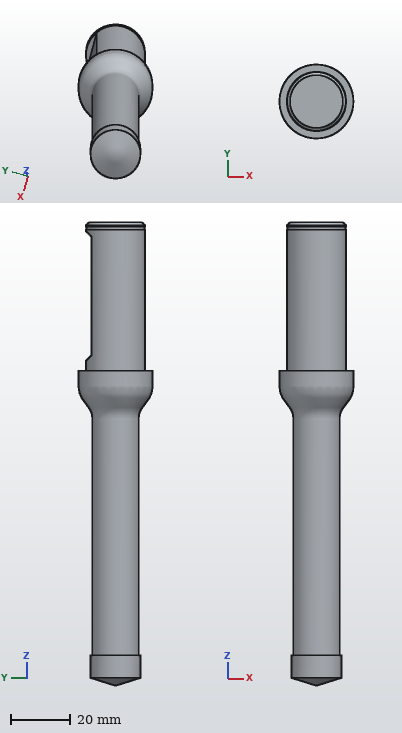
import cadquery as cq
import math

LENGTH = 156.0
POINT_HEIGHT = 2.7
TIP_TOP = 10.3
NECK_BOTTOM = 90.2
COLLAR_EDGE = 100.8
COLLAR_TOP = 106.1

TIP_RADIUS = 16.8 / 2
STEM_RADIUS = 15.8 / 2
COLLAR_RADIUS = 25.0 / 2
SHANK_RADIUS = 20.0 / 2

NECK_ROUND = 5.6
NECK_ANGLE = math.radians(34)

END_CHAMFER = 1.1
GROOVE_TOP = LENGTH - 1.5
GROOVE_BOTTOM = LENGTH - 2.5
GROOVE_DEPTH = 0.2

FLAT_DEPTH = 1.9
FLAT_BOTTOM = COLLAR_TOP + 3.3
FLAT_TOP = LENGTH - 3.0


def neck_point(angle):
    """Point (radius, height) on the concave round, at an angle up from the stem."""
    run = NECK_ROUND * (1 - math.cos(angle))
    rise = NECK_ROUND * math.sin(angle)
    return STEM_RADIUS + run, NECK_BOTTOM + rise


def make_holder_body():
    neck_direction = (math.sin(NECK_ANGLE), math.cos(NECK_ANGLE))
    collar_direction = (0, 1)
    groove_radius = SHANK_RADIUS - GROOVE_DEPTH
    return (
        cq.Workplane("XZ")
        .moveTo(0, TIP_TOP)
        .lineTo(STEM_RADIUS, TIP_TOP)
        .lineTo(STEM_RADIUS, NECK_BOTTOM)
        .threePointArc(neck_point(NECK_ANGLE / 2), neck_point(NECK_ANGLE))
        .spline(
            [(COLLAR_RADIUS, COLLAR_EDGE)],
            tangents=[neck_direction, collar_direction],
            includeCurrent=True,
        )
        .lineTo(COLLAR_RADIUS, COLLAR_TOP)
        .lineTo(SHANK_RADIUS, COLLAR_TOP)
        .lineTo(SHANK_RADIUS, GROOVE_BOTTOM)
        .lineTo(groove_radius, GROOVE_BOTTOM)
        .lineTo(groove_radius, GROOVE_TOP)
        .lineTo(SHANK_RADIUS, GROOVE_TOP)
        .lineTo(SHANK_RADIUS, LENGTH - END_CHAMFER)
        .lineTo(SHANK_RADIUS - END_CHAMFER, LENGTH)
        .lineTo(0, LENGTH)
        .close()
        .revolve(360, (0, 0, 0), (0, 1, 0))
    )


def make_flat_cutter():
    """Trapezoid in YZ, extruded across the shank; its 45 degree ends open outwards."""
    return (
        cq.Workplane("YZ")
        .polyline([
            (SHANK_RADIUS, FLAT_BOTTOM),
            (SHANK_RADIUS, FLAT_TOP),
            (SHANK_RADIUS - FLAT_DEPTH, FLAT_TOP - FLAT_DEPTH),
            (SHANK_RADIUS - FLAT_DEPTH, FLAT_BOTTOM + FLAT_DEPTH),
        ])
        .close()
        .extrude(SHANK_RADIUS, both=True)
    )


def make_drill_tip():
    return (
        cq.Workplane("XZ")
        .polyline([(0, 0), (TIP_RADIUS, POINT_HEIGHT), (TIP_RADIUS, TIP_TOP), (0, TIP_TOP)])
        .close()
        .revolve(360, (0, 0, 0), (0, 1, 0))
    )


holder = make_holder_body().cut(make_flat_cutter())
drill_tip = make_drill_tip()

result = cq.Compound.makeCompound([holder.val(), drill_tip.val()])